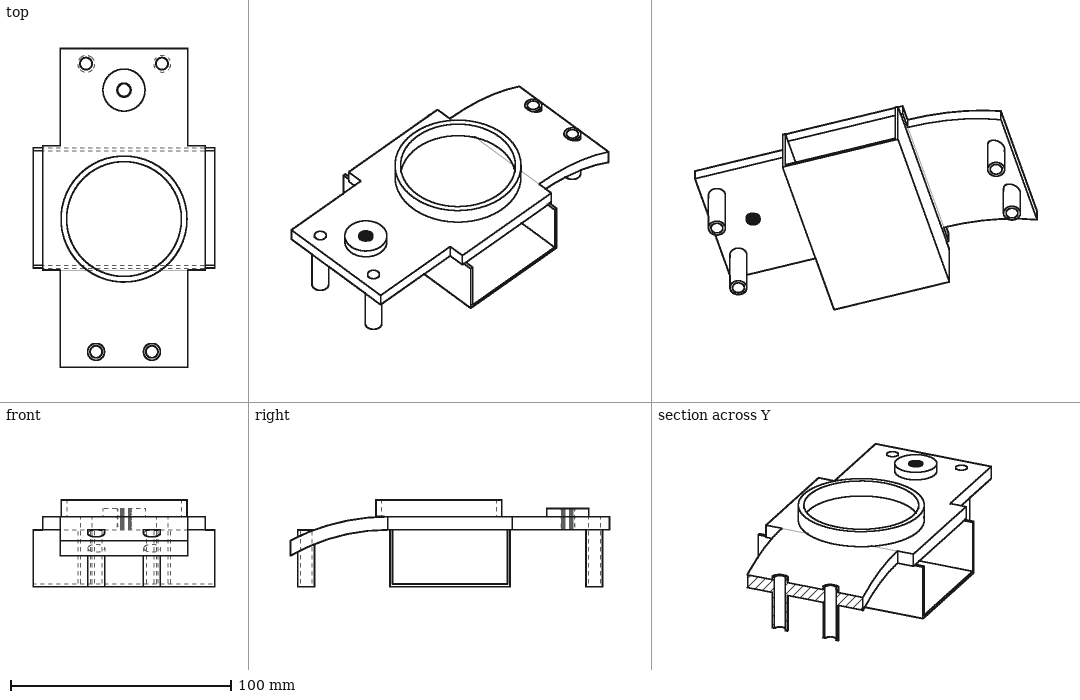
import cadquery as cq
import math

total_length = 144.8
block_length = 56.5
block_width = 73.8
arm_width = 57.9
plate_thickness = 6.1
arm_length = (total_length - block_length) / 2
curve_radius = 95.0

channel_width = 82.5
channel_length = 54.6
channel_height = 25.8
channel_wall = 1.3

ring_diameter = 57.2
ring_bore = 52.1
ring_height = 7.5
ring_y = -5.0
boss_diameter = 19.1
boss_height = 3.8
boss_y = 53.4

thread_crest_diameter = 5.8
thread_root_diameter = 6.4
thread_turns = 14

leg_diameter = 7.7
leg_bore = 5.4
rear_leg_spacing = 34.5
rear_leg_y = 65.5
front_leg_spacing = 25.3
front_leg_y = -65.3

plate_bottom = channel_height
plate_top = plate_bottom + plate_thickness
block_end = block_length / 2
arm_end = block_end + arm_length


def box(width, y_start, y_end, z_bottom, height):
    """Box centred on X between two Y positions."""
    length = y_end - y_start
    return cq.Workplane("XY").box(width, length, height, centered=(True, False, False)).translate(
        (0, y_start, z_bottom)
    )


def cylinder(diameter, x, y, z_bottom, z_top):
    """Vertical cylinder between two heights."""
    return (
        cq.Workplane("XY", origin=(x, y, z_bottom))
        .circle(diameter / 2)
        .extrude(z_top - z_bottom)
    )


def channel():
    """Channel open at the top and along X."""
    half = channel_length / 2
    outer = box(channel_width, -half, half, 0, channel_height)
    inner = box(
        channel_width,
        -half + channel_wall,
        half - channel_wall,
        channel_wall,
        channel_height - channel_wall,
    )
    return outer.cut(inner)


def curved_arm():
    """Arm that leaves the block level and droops along concentric arcs."""
    centre_z = plate_top - curve_radius

    def arc_point(radius, reach):
        return (-block_end - reach, centre_z + math.sqrt(radius**2 - reach**2))

    inner_radius = curve_radius - plate_thickness
    return (
        cq.Workplane("YZ")
        .moveTo(*arc_point(curve_radius, 0))
        .threePointArc(arc_point(curve_radius, arm_length / 2), arc_point(curve_radius, arm_length))
        .lineTo(*arc_point(inner_radius, arm_length))
        .threePointArc(arc_point(inner_radius, arm_length / 2), arc_point(inner_radius, 0))
        .close()
        .extrude(arm_width / 2, both=True)
    )


def threaded_bore(z_bottom, z_top):
    """Cutter on the Z axis: a bore whose wall zigzags once per thread turn."""
    crest_radius = thread_crest_diameter / 2
    root_radius = thread_root_diameter / 2
    pitch = (z_top - z_bottom) / thread_turns
    profile = cq.Workplane("XZ").moveTo(0, z_bottom).lineTo(root_radius, z_bottom)
    for turn in range(thread_turns):
        turn_bottom = z_bottom + turn * pitch
        profile = profile.lineTo(crest_radius, turn_bottom + pitch / 2)
        profile = profile.lineTo(root_radius, turn_bottom + pitch)
    return profile.lineTo(0, z_top).close().revolve(360, (0, 0, 0), (0, 1, 0))


body = box(block_width, -block_end, block_end, plate_bottom, plate_thickness)
body = body.union(box(arm_width, block_end, arm_end, plate_bottom, plate_thickness))
body = body.union(curved_arm())
body = body.union(channel())

ring_top = plate_top + ring_height
ring = cylinder(ring_diameter, 0, ring_y, plate_top, ring_top)
ring = ring.cut(cylinder(ring_bore, 0, ring_y, plate_top, ring_top))
body = body.union(ring)

boss_top = plate_top + boss_height
body = body.union(cylinder(boss_diameter, 0, boss_y, plate_top, boss_top))
body = body.cut(threaded_bore(plate_bottom, boss_top).translate((0, boss_y, 0)))

for spacing, y in ((rear_leg_spacing, rear_leg_y), (front_leg_spacing, front_leg_y)):
    for x in (-spacing / 2, spacing / 2):
        body = body.union(cylinder(leg_diameter, x, y, 0, plate_bottom))
        body = body.cut(cylinder(leg_bore, x, y, 0, plate_top))

result = body